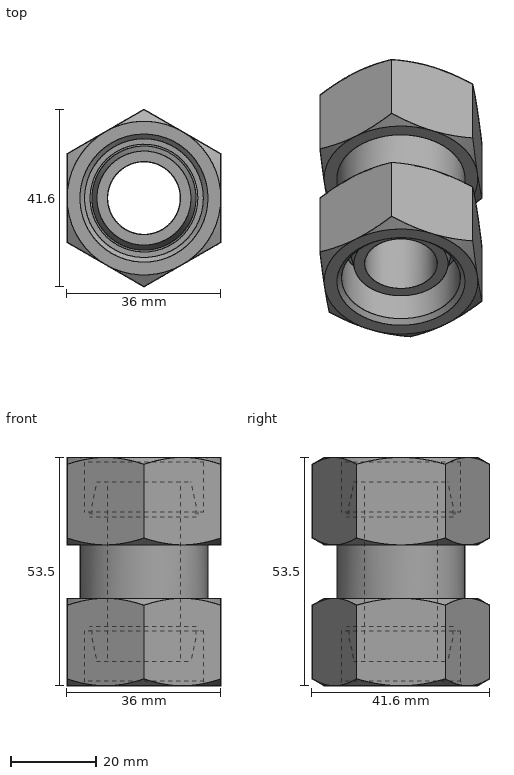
import cadquery as cq
import math

LENGTH = 53.5
ACROSS_FLATS = 36.0
ACROSS_CORNERS = ACROSS_FLATS / math.cos(math.radians(30))
NUT_HEIGHT = 20.5
NECK_DIAMETER = 30.0
CORNER_CHAMFER_ANGLE = 30.0
ENVELOPE_MARGIN = 0.55

THROUGH_DIAMETER = 17.0
SOCKET_DIAMETER = 27.8
SOCKET_MOUTH_DIAMETER = NECK_DIAMETER
SOCKET_DEPTH = 12.85
STUB_TIP_DIAMETER = 22.05
STUB_DIAMETER = 24.4
STUB_TIP_DEPTH = 5.7
STUB_CONE_HEIGHT = 5.55
GROOVE_DIAMETER = 25.25
GROOVE_DEPTH = 1.05


def make_nut():
    """Solid hexagon with its top on Z = LENGTH / 2 and corners on the Y axis."""
    hexagon = (
        cq.Workplane("XY", origin=(0, 0, LENGTH / 2 - NUT_HEIGHT))
        .polygon(6, ACROSS_CORNERS)
        .extrude(NUT_HEIGHT)
        .rotate((0, 0, 0), (0, 0, 1), 30)
    )
    face_radius = ACROSS_FLATS / 2
    rim_radius = ACROSS_CORNERS / 2 + ENVELOPE_MARGIN
    drop = (rim_radius - face_radius) * math.tan(math.radians(CORNER_CHAMFER_ANGLE))
    top = LENGTH / 2
    bottom = top - NUT_HEIGHT
    envelope = (
        cq.Workplane("XZ")
        .moveTo(0, bottom)
        .lineTo(face_radius, bottom)
        .lineTo(rim_radius, bottom + drop)
        .lineTo(rim_radius, top - drop)
        .lineTo(face_radius, top)
        .lineTo(0, top)
        .close()
        .revolve(360, (0, 0, 0), (0, 1, 0))
    )
    return hexagon.intersect(envelope)


def make_socket():
    """Ring-shaped void between the nut and the conical tip of the stub."""
    top = LENGTH / 2
    mouth_chamfer = (SOCKET_MOUTH_DIAMETER - SOCKET_DIAMETER) / 2
    tip = top - STUB_TIP_DEPTH
    floor = top - SOCKET_DEPTH
    return (
        cq.Workplane("XZ")
        .moveTo(0, top)
        .lineTo(SOCKET_MOUTH_DIAMETER / 2, top)
        .lineTo(SOCKET_DIAMETER / 2, top - mouth_chamfer)
        .lineTo(SOCKET_DIAMETER / 2, floor)
        .lineTo(GROOVE_DIAMETER / 2, floor)
        .lineTo(GROOVE_DIAMETER / 2, floor - GROOVE_DEPTH)
        .lineTo(STUB_DIAMETER / 2, floor - GROOVE_DEPTH)
        .lineTo(STUB_DIAMETER / 2, tip - STUB_CONE_HEIGHT)
        .lineTo(STUB_TIP_DIAMETER / 2, tip)
        .lineTo(0, tip)
        .close()
        .revolve(360, (0, 0, 0), (0, 1, 0))
    )


nut = make_nut()
socket = make_socket()
neck_length = LENGTH - 2 * NUT_HEIGHT
neck = cq.Workplane("XY").circle(NECK_DIAMETER / 2).extrude(neck_length / 2, both=True)
bore = cq.Workplane("XY").circle(THROUGH_DIAMETER / 2).extrude(LENGTH / 2, both=True)

result = neck.union(nut).union(nut.mirror("XY"))
result = result.cut(socket).cut(socket.mirror("XY")).cut(bore)